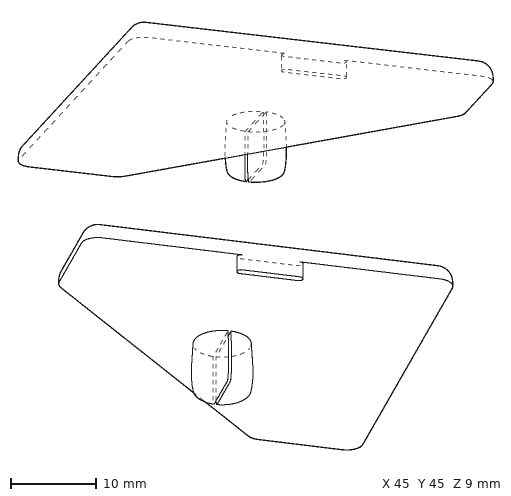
import cadquery as cq
import math

side = 45.0
plate_thickness = 2.5
edge_radius = 2.0
cut_corner_start = 12.15

total_height = 9.0
plug_radius = 3.6
neck_radius = 3.4
band_top_depth = 3.0
band_bottom_depth = 4.5
tip_round = 0.5
slot_width = 0.35

rib_length = 8.0
rib_thickness = 1.0
rib_height = 2.0

center = side / 2
plug_length = total_height - plate_thickness


def make_plate():
    """Plate whose rounded outline is the flat top face grown by the edge radius."""
    low = edge_radius
    high = side - edge_radius
    top_face_corners = [
        (low, low),
        (cut_corner_start, low),
        (high, side - cut_corner_start),
        (high, high),
        (low, high),
    ]
    outline = cq.Workplane("XY").polyline(top_face_corners).close().offset2D(edge_radius, "arc")
    return outline.extrude(plate_thickness).faces(">Z").edges().fillet(edge_radius)


def bulge_middle(neck_depth, band_depth):
    """Middle point of the arc from the neck to the band, tangent to the band."""
    rise = plug_radius - neck_radius
    run = abs(band_depth - neck_depth)
    arc_radius = (run**2 + rise**2) / (2 * rise)
    half_angle = math.asin(run / arc_radius) / 2
    direction = math.copysign(1, neck_depth - band_depth)
    middle_depth = band_depth + direction * arc_radius * math.sin(half_angle)
    return (plug_radius - arc_radius * (1 - math.cos(half_angle)), -middle_depth)


def make_plug():
    """Round plug with a bulged profile, split by a slot along Y."""
    tip_start_depth = plug_length - tip_round
    diagonal_offset = tip_round * math.sqrt(0.5)
    tip_middle = (
        neck_radius - tip_round + diagonal_offset,
        -tip_start_depth - diagonal_offset,
    )
    profile = (
        cq.Workplane("XZ")
        .moveTo(0, 0)
        .lineTo(neck_radius, 0)
        .threePointArc(bulge_middle(0, band_top_depth), (plug_radius, -band_top_depth))
        .lineTo(plug_radius, -band_bottom_depth)
        .threePointArc(bulge_middle(tip_start_depth, band_bottom_depth), (neck_radius, -tip_start_depth))
        .threePointArc(tip_middle, (neck_radius - tip_round, -plug_length))
        .lineTo(0, -plug_length)
        .close()
    )
    plug = profile.revolve(360, (0, 0, 0), (0, 1, 0))
    slot = cq.Workplane("XY").box(slot_width, 2 * side, plug_length, centered=(True, True, False))
    plug = plug.cut(slot.translate((0, 0, -plug_length)))
    return plug.translate((center, center, 0))


def make_rib():
    """Round-ended rib hanging below the plate, flush with its +Y side."""
    return (
        cq.Workplane("XY")
        .center(center, side - rib_thickness / 2)
        .slot2D(rib_length, rib_thickness)
        .extrude(-rib_height)
    )


result = make_plate().union(make_plug()).union(make_rib())